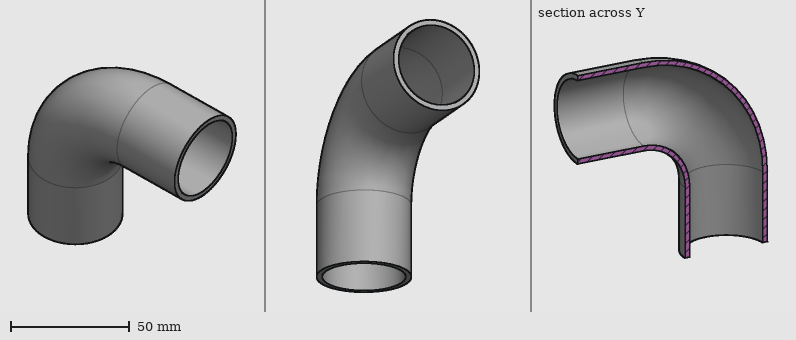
import cadquery as cq

overall_length = 92.0
outer_diameter = 40.0
bore_diameter = 35.2
bend_radius = outer_diameter
bend_angle = 90.0

leg_length = overall_length - bend_radius - outer_diameter / 2


def elbow(diameter):
    """Solid round bar: vertical leg, quarter bend towards +X, horizontal leg."""
    radius = diameter / 2
    vertical_leg = cq.Workplane("XY").circle(radius).extrude(leg_length)
    bend = (
        cq.Workplane("XY", origin=(0, 0, leg_length))
        .circle(radius)
        .revolve(bend_angle, (bend_radius, 0), (bend_radius, 1))
    )
    horizontal_leg = (
        cq.Workplane("YZ", origin=(bend_radius, 0, leg_length + bend_radius))
        .circle(radius)
        .extrude(leg_length)
    )
    return vertical_leg.union(bend).union(horizontal_leg)


result = elbow(outer_diameter).cut(elbow(bore_diameter))